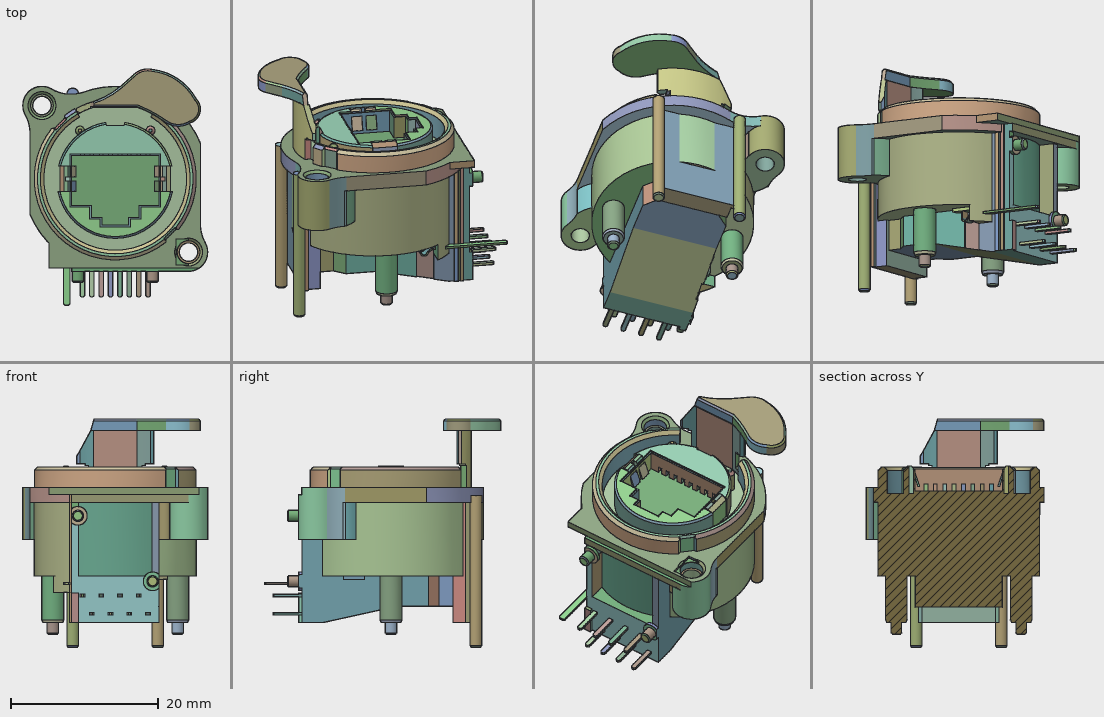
import cadquery as cq
import math


side_x = 11.53
flange_radius = 12.5
plate_front_y = -12.07
plate_corner_x = -8.98
plate_thickness = 0.95
flange_thickness = 2.0
lug_x = 9.9
lug_y = 9.9
lug_radius = 2.603
lug_height = 7.05
lug_blend_radius = 5.05
web_side_y = 6.45
web_bulge_point = (-10.83, 5.45)
web_barrel_y = 4.7
web_fillet_radius = 1.28
saddle_x = 4.45
saddle_low_point = (-6.23, 11.45)
saddle_lug_angle = 60
screw_radius = 1.23
screw_sink_radius = 1.9
screw_sink_depth = 1.45
screw_sink_chamfer = 0.35
nut_slot_x = 8.25
nut_slot_width = 3.48
nut_slot_depth = 0.32
barrel_radius = 10.95
barrel_bottom = -11.98
rim_top = 2.78
rim_chamfer = 0.45
bore_radius = 9.65
bore_chamfer = 0.48
floor_z = -0.8
gap_half_angle = 30
notch_start_angle = 37
notch_end_angle = 53
notch_floor_radius = 10.67
notch_slant_angle = 3
notch_chamfer = 0.3
plug_y = -0.15
plug_radius = 7.9
plug_top = 2.7
plug_chamfer = 0.25
key_half_width = 1.35
key_slant = 0.15
key_floor_y = 7.2
nub_x = 4.75
nub_y = 6.5
nub_radius = 0.6
nub_top = 2.4
nub_chamfer = 0.38
jack_top_y = 3.4
jack_steps = [(6.13, -3.8), (3.45, -5.43), (2.05, -6.48)]
jack_lip = 0.22
jack_floor_z = -0.48
contact_slot_width = 0.5
contact_slot_depth = 0.48
contact_slot_height = 0.95
contact_count = 8
contact_pitch = 1.268
clip_half_width = 1.71
clip_gap = 0.55
clip_outer_x = 7.47
clip_inner_x = 6.13
clip_top = 2.9
clip_crown_radius = 0.57
finger_tip_x = 5.27
finger_thickness = 0.25
finger_bottom = 0.15
lever_top = 9.25
pad_bottom = 7.65
pad_chamfer = 0.25
pad_bevel_angle = 45
pad_front_y = 9.75
stem_front_y = 9.65
stem_inner_radius = 10.1
stem_outer_radius = 10.85
stem_flat_half_width = 2.95
stem_half_width = 3.65
stem_step_half_width = 4.05
stem_step_height = 0.25
wing_half_width = 5.2
wing_bottom = 3.2
wing_bevel_start = (4.73, 8.9)
wing_end_y = 9.15
wing_slant_bottom = 4.25
module_half_width = 5.9
module_front_y = -12.05
front_y = -12.5
module_bottom = -18.27
module_mid_bottom = -16.05
window_half_width = 4.98
slope_start_y = -9.17
slope_end_y = 0.83
module_back_y = 8.37
back_edge_y = 10.1
back_edge_half_width = 5.43
back_wall_y = 10.67
side_step = 0.25
module_taper = 1.45
module_taper_y = 5.05
side_recess_back_y = -4.73
rib_back_y = -9.87
groove_back_y = -10.45
groove_front_y = -10.7
rib_front_y = -11.18
foot_strip_top = -14.28
peg_places = [(-5.05, -3.83), (5.05, -12.68)]
peg_radius = 0.77
peg_tip_y = -14.0
peg_root_y = -9.58
peg_chamfer = 0.15
peg_collar_radius = 1.262
pin_width = 0.65
pin_thickness = 0.35
pin_tip_y = -15.97
pin_chamfer = 0.2
upper_row_z = -14.6
lower_row_z = -17.1
ground_pin_x = -6.55
ground_pin_width = 0.9
ground_pin_thickness = 0.3
ground_pin_z = -13.0
ground_pin_tip_y = -17.1
ground_pin_root_y = -8.45
post_x = 8.43
post_radius = 1.5
post_shoulder_z = -18.27
post_shoulder_chamfer = 0.38
post_shoulder_inset = 0.15
post_tip_radius = 0.8
post_tip_z = -19.85
post_tip_chamfer = 0.2
rod_x = 5.75
rod_y = 11.47
rod_radius = 0.8
rod_top = -1.12
rod_bottom = -21.6
rod_chamfer = 0.22
rod_inset = 0.15
skirt_bottom = -14.18
skirt_outer_x = -8.4
skirt_inner_x = -7.03
skirt_back_y = -7.12
spring_plate_y = (-6.4, -3.58)
spring_plate_bottom = -12.42

overlap = 0.32


def box(x_range, y_range, z_range):
    """Box between the two limits given along each axis."""
    sizes = [max(r) - min(r) for r in (x_range, y_range, z_range)]
    corner = [min(r) for r in (x_range, y_range, z_range)]
    return cq.Workplane("XY").box(*sizes, centered=False).translate(tuple(corner))


def rod(radius, x, y, z_range):
    """Upright cylinder between two heights."""
    bottom, top = sorted(z_range)
    return cq.Workplane("XY", origin=(x, y, bottom)).circle(radius).extrude(top - bottom)


def prism(points, z_range):
    """Upright prism over a polygon."""
    bottom, top = sorted(z_range)
    return cq.Workplane("XY").workplane(offset=bottom).polyline(points).close().extrude(top - bottom)


def polar(radius, degrees, center=(0, 0)):
    angle = math.radians(degrees)
    return (center[0] + radius * math.cos(angle), center[1] + radius * math.sin(angle))


def half_turn(solid):
    return solid.rotate((0, 0, 0), (0, 0, 1), 180)


def arc_y(radius, x):
    """Y on a circle about the barrel axis at the given X, on the +Y side."""
    return math.sqrt(radius**2 - x**2)


lug_center = (-lug_x, lug_y)
blend_center_x = -side_x - lug_blend_radius
blend_rise = math.sqrt((lug_radius + lug_blend_radius) ** 2 - (blend_center_x + lug_x) ** 2)
blend_center = (blend_center_x, lug_y - blend_rise)
blend_angle = math.degrees(math.asin(blend_rise / (lug_radius + lug_blend_radius)))
blend_start = polar(lug_blend_radius, blend_angle, blend_center)
blend_middle = polar(lug_blend_radius, blend_angle / 2, blend_center)
blend_end = polar(lug_blend_radius, 0, blend_center)


def opposite(point):
    return (-point[0], -point[1])


def flange_layer(corner_points, lug_start, z_range):
    """Flange outline; only the front left corner and the start of the lug arc differ between layers."""
    bottom, top = sorted(z_range)
    corner_angle = math.degrees(math.atan2(corner_points[0][1], corner_points[0][0]))
    left_angle = math.degrees(math.atan2(-arc_y(flange_radius, side_x), -side_x))
    saddle_start = (-saddle_x, arc_y(flange_radius, saddle_x))
    saddle_end = polar(lug_radius, saddle_lug_angle, lug_center)
    outline = (
        cq.Workplane("XY")
        .workplane(offset=bottom)
        .moveTo(*blend_end)
        .lineTo(*polar(flange_radius, left_angle))
        .threePointArc(polar(flange_radius, (left_angle + corner_angle) / 2), corner_points[0])
    )
    for point in corner_points[1:]:
        outline = outline.lineTo(*point)
    return (
        outline.lineTo(*lug_start)
        .threePointArc(opposite(polar(lug_radius, 150, lug_center)), opposite(blend_start))
        .threePointArc(opposite(blend_middle), opposite(blend_end))
        .lineTo(side_x, arc_y(flange_radius, side_x))
        .threePointArc((0, flange_radius), saddle_start)
        .threePointArc(saddle_low_point, saddle_end)
        .threePointArc(polar(lug_radius, 135, lug_center), blend_start)
        .threePointArc(blend_middle, blend_end)
        .close()
        .extrude(top - bottom)
    )


def make_flange():
    plate_lug_dx = math.sqrt(lug_radius**2 - (plate_front_y + lug_y) ** 2)
    plate = flange_layer(
        [
            (plate_corner_x, -arc_y(flange_radius, plate_corner_x)),
            (plate_corner_x, plate_front_y),
        ],
        (lug_x + plate_lug_dx, plate_front_y),
        (-plate_thickness, 0),
    )
    backing = flange_layer(
        [
            (-module_half_width, -arc_y(flange_radius, module_half_width)),
            (-module_half_width, -lug_y - lug_radius),
        ],
        (lug_x, -lug_y - lug_radius),
        (-flange_thickness, -plate_thickness),
    )
    return plate.union(backing)


def make_lug():
    """Lug at the back left corner with its web to the barrel."""
    fillet_x = lug_radius + web_fillet_radius - lug_x
    fillet_reach = barrel_radius + web_fillet_radius
    fillet_center = (fillet_x, arc_y(fillet_reach, fillet_x))
    fillet_turn = math.degrees(math.atan2(fillet_center[1], -fillet_center[0]))
    barrel_side = (-arc_y(barrel_radius, web_barrel_y), web_barrel_y)
    depth = lug_height - plate_thickness
    plane = cq.Workplane("XY", origin=(0, 0, -lug_height))
    web = (
        plane.moveTo(*blend_start)
        .threePointArc(blend_middle, blend_end)
        .lineTo(-side_x, web_side_y)
        .threePointArc(web_bulge_point, barrel_side)
        .lineTo(*polar(web_fillet_radius, -fillet_turn, fillet_center))
        .threePointArc(
            polar(web_fillet_radius, 270 - fillet_turn / 2, fillet_center),
            polar(web_fillet_radius, 180, fillet_center),
        )
        .lineTo(*lug_center)
        .close()
        .extrude(depth)
    )
    return plane.center(*lug_center).circle(lug_radius).extrude(depth).union(web)


def make_screw_hole():
    """Screw hole with a chamfered sink at the back left lug."""
    hole = rod(screw_radius, -lug_x, lug_y, (-lug_height - overlap, overlap))
    sink = (
        cq.Workplane("XY", origin=(-lug_x, lug_y, -screw_sink_depth))
        .circle(screw_sink_radius - screw_sink_chamfer)
        .extrude(screw_sink_depth)
    )
    mouth = (
        cq.Workplane("XY", origin=(-lug_x, lug_y, 0))
        .circle(screw_sink_radius)
        .extrude(-screw_sink_chamfer, taper=45)
    )
    return hole.union(sink).union(mouth)


def make_gap_wedge(bottom, top):
    """Wedge from the barrel axis over the gap where the lever stands."""
    reach = 2 * barrel_radius
    wedge = [
        (0, 0),
        polar(reach, 90 - gap_half_angle),
        polar(reach, 90 + gap_half_angle),
    ]
    return prism(wedge, (bottom, top))


def make_rim():
    """Ring above the flange, open at the back for the lever and notched outside."""
    rim = rod(barrel_radius, 0, 0, (0, rim_top)).faces(">Z").edges().chamfer(rim_chamfer)
    notch = [
        polar(barrel_radius + overlap, -notch_start_angle),
        polar(notch_floor_radius, -notch_start_angle - notch_slant_angle),
        polar(notch_floor_radius, -notch_end_angle + notch_slant_angle),
        polar(barrel_radius + overlap, -notch_end_angle),
    ]
    notch_bevel = (
        cq.Workplane("XY")
        .workplane(offset=rim_top - notch_chamfer)
        .polyline(notch)
        .close()
        .extrude(notch_chamfer, taper=-45)
    )
    notch_tool = prism(notch, (0, rim_top)).union(notch_bevel)
    rim = rim.cut(notch_tool).cut(half_turn(notch_tool))
    bore_mouth = (
        cq.Workplane("XY", origin=(0, 0, rim_top))
        .circle(bore_radius + bore_chamfer)
        .extrude(-bore_chamfer, taper=45)
    )
    rim = rim.cut(rod(bore_radius, 0, 0, (0, rim_top))).cut(bore_mouth)
    return rim.cut(make_gap_wedge(0, rim_top))


def jack_outline(margin):
    """Stepped jack opening, grown by a margin on every side."""
    right = [(jack_steps[0][0] + margin, jack_top_y + margin)]
    for index, (half_width, bottom_y) in enumerate(jack_steps):
        right.append((half_width + margin, right[-1][1]))
        right.append((half_width + margin, bottom_y - margin))
    right = right[1:]
    left = [(-x, y) for x, y in reversed(right)]
    return right + left


def make_plug():
    plug = rod(plug_radius, 0, plug_y, (floor_z, plug_top)).faces(">Z").edges().chamfer(plug_chamfer)
    for side in (-1, 1):
        nub = rod(nub_radius, side * nub_x, nub_y, (floor_z, nub_top))
        nub = nub.faces(">Z").edges().chamfer(nub_chamfer)
        plug = plug.union(nub)
    key_top_y = plug_radius + overlap
    key = [
        (-key_half_width - key_slant, key_top_y),
        (-key_half_width + key_slant, key_floor_y),
        (key_half_width - key_slant, key_floor_y),
        (key_half_width + key_slant, key_top_y),
    ]
    plug = plug.cut(prism(key, (floor_z, plug_top + overlap)))
    plug = plug.cut(prism(jack_outline(-jack_lip), (jack_floor_z, plug_top + overlap)))
    plug = plug.cut(prism(jack_outline(0), (plug_top - jack_lip, plug_top + overlap)))
    for index in range(contact_count):
        x = (index - (contact_count - 1) / 2) * contact_pitch
        slot = box(
            (x - contact_slot_width / 2, x + contact_slot_width / 2),
            (0, jack_top_y - jack_lip + contact_slot_depth),
            (jack_floor_z, jack_floor_z + contact_slot_height),
        )
        plug = plug.cut(slot)
    for side in (-1, 1):
        clip_slot = box(
            (side * clip_inner_x, side * (plug_radius + overlap)),
            (-clip_half_width, clip_half_width),
            (floor_z, plug_top + overlap),
        )
        plug = plug.cut(clip_slot)
        plug = plug.union(make_clip(side))
    return plug


def make_clip(side):
    """Spring clip bent over the plug wall, with two fingers reaching into the jack."""
    profile = (
        cq.Workplane("XZ", origin=(0, clip_half_width, 0))
        .moveTo(side * clip_outer_x, floor_z - overlap)
        .lineTo(side * clip_outer_x, clip_top - clip_crown_radius)
        .lineTo(side * (clip_outer_x - clip_crown_radius), clip_top)
        .lineTo(side * (clip_inner_x + finger_thickness), clip_top)
        .lineTo(side * clip_inner_x, clip_top - finger_thickness)
        .lineTo(side * finger_tip_x, finger_bottom)
        .lineTo(side * (finger_tip_x + finger_thickness), finger_bottom)
        .lineTo(side * clip_inner_x, clip_top - 3 * finger_thickness)
        .lineTo(side * clip_inner_x, floor_z - overlap)
        .close()
        .extrude(2 * clip_half_width)
    )
    finger_gap = box(
        (side * finger_tip_x, side * (clip_inner_x + clip_crown_radius)),
        (-clip_gap / 2, clip_gap / 2),
        (floor_z, clip_top),
    )
    return profile.cut(finger_gap)


def pad_outline(height):
    """Thumb pad outline of the lever, drawn at a height."""
    return (
        cq.Workplane("XY")
        .workplane(offset=height)
        .moveTo(-3.32, pad_front_y)
        .lineTo(stem_flat_half_width, pad_front_y)
        .threePointArc((5.08, 8.72), (6.9, 7.57))
        .threePointArc((8.43, 7.1), (10.1, 7.55))
        .threePointArc((11.47, 8.98), (10.95, 10.8))
        .threePointArc((8.43, 13.55), (5.0, 14.8))
        .threePointArc((3.77, 14.8), (2.7, 14.28))
        .lineTo(0.67, 12.45)
        .threePointArc((-1.05, 11.27), (-3.32, 10.32))
        .close()
    )


def make_pad():
    bevel_bottom = lever_top - pad_chamfer
    bevel = pad_outline(bevel_bottom).extrude(pad_chamfer, taper=pad_bevel_angle)
    return pad_outline(pad_bottom).extrude(bevel_bottom - pad_bottom).union(bevel)


def make_lever():
    stem_z = (floor_z - overlap, pad_bottom)
    stem = rod(stem_outer_radius, 0, 0, stem_z)
    stem = stem.cut(rod(stem_inner_radius, 0, 0, stem_z))
    chord = rod(stem_inner_radius, 0, 0, stem_z)
    chord = chord.intersect(
        box((-stem_half_width, stem_half_width), (stem_front_y, stem_outer_radius), stem_z)
    )
    stem = stem.union(chord)
    back = (0, stem_outer_radius + overlap)
    foot = box((-stem_half_width, stem_half_width), back, (floor_z - overlap, wing_bottom))
    wings = box((-wing_half_width, wing_half_width), back, (wing_bottom, pad_bottom))
    step = box(
        (-stem_step_half_width, stem_step_half_width), back, (wing_bottom - stem_step_height, wing_bottom)
    )
    stem = stem.intersect(foot.union(step).union(wings))
    for side in (-1, 1):
        wing_end = [
            (side * wing_bevel_start[0], wing_bevel_start[1]),
            (side * wing_half_width, wing_end_y),
            (side * wing_half_width, 0),
            (side * wing_bevel_start[0], 0),
        ]
        stem = stem.cut(prism(wing_end, (wing_bottom, pad_bottom)))
    lever = stem.union(make_pad())
    slanted_side = (
        cq.Workplane("XZ", origin=(0, stem_outer_radius + overlap, 0))
        .polyline(
            [
                (-2.87, lever_top),
                (-3.32, pad_bottom),
                (-4.8, 4.95),
                (-wing_half_width, wing_slant_bottom),
                (-wing_half_width - overlap, wing_slant_bottom),
                (-wing_half_width - overlap, lever_top),
            ]
        )
        .close()
        .extrude(stem_outer_radius)
    )
    return lever.cut(slanted_side)


def make_module():
    """Jack housing under the flange: sloped block, window frame and back wall."""
    profile = [
        (module_front_y, -plate_thickness),
        (module_front_y, module_bottom),
        (slope_start_y, module_bottom),
        (slope_end_y, module_mid_bottom),
        (module_back_y + overlap, module_mid_bottom),
        (module_back_y + overlap, -plate_thickness),
    ]
    block = (
        cq.Workplane("YZ", origin=(-module_half_width - side_step, 0, 0))
        .polyline(profile)
        .close()
        .extrude(2 * module_half_width + side_step)
    )
    half = module_half_width
    plan = [
        (half, module_front_y),
        (half, module_taper_y),
        (half - module_taper, module_taper_y + module_taper),
        (half - module_taper, module_back_y + overlap),
        (-half + module_taper, module_back_y + overlap),
        (-half + module_taper, module_taper_y + module_taper),
        (-half, module_taper_y),
        (-half, side_recess_back_y),
        (-half + side_step, side_recess_back_y),
        (-half + side_step, skirt_back_y),
        (-half, skirt_back_y),
        (-half, rib_back_y),
        (-half - side_step, rib_back_y),
        (-half - side_step, groove_back_y),
        (-half, groove_back_y),
        (-half, groove_front_y),
        (-half - side_step, groove_front_y),
        (-half - side_step, rib_front_y),
        (-half, rib_front_y),
        (-half, module_front_y),
    ]
    block = block.intersect(prism(plan, (module_bottom, 0)))
    window = box(
        (-window_half_width, window_half_width),
        (module_front_y - overlap, 0),
        (barrel_bottom, -flange_thickness),
    )
    foot_strip = box((-half, -window_half_width), (front_y, module_front_y), (module_bottom, foot_strip_top))
    wall_z = (module_bottom, -plate_thickness)
    back_wall = box((-window_half_width, window_half_width), (module_back_y, back_wall_y), wall_z)
    back_edge = box((-back_edge_half_width, back_edge_half_width), (back_edge_y, back_wall_y), wall_z)
    return block.cut(window).union(foot_strip).union(back_wall.union(back_edge))


def make_pegs():
    pegs = cq.Workplane("XY")
    for x, z in peg_places:
        peg = cq.Workplane("XZ", origin=(x, peg_root_y, z)).circle(peg_radius).extrude(peg_root_y - peg_tip_y)
        peg = peg.faces("<Y").edges().chamfer(peg_chamfer)
        collar = (
            cq.Workplane("XZ", origin=(x, module_front_y, z))
            .circle(peg_collar_radius)
            .extrude(module_front_y - front_y)
        )
        width = (-module_half_width, module_half_width)
        heights = (z - peg_collar_radius, z + peg_collar_radius)
        pegs = pegs.union(peg).union(collar.intersect(box(width, (front_y, 0), heights)))
    return pegs


def make_pin(x, z, width, thickness, root_y, tip_y):
    """Flat pin pointing to -Y with a chamfered tip."""
    pin = box((x - width / 2, x + width / 2), (root_y, tip_y), (z - thickness / 2, z + thickness / 2))
    return pin.faces("<Y").edges("|Z").chamfer(pin_chamfer)


def make_pins():
    pins = make_pin(
        ground_pin_x,
        ground_pin_z,
        ground_pin_width,
        ground_pin_thickness,
        ground_pin_root_y,
        ground_pin_tip_y,
    )
    for index in range(contact_count):
        x = (index - (contact_count - 1) / 2) * contact_pitch
        row_z = upper_row_z if index % 2 == 0 else lower_row_z
        pins = pins.union(make_pin(x, row_z, pin_width, pin_thickness, module_front_y + overlap, pin_tip_y))
    return pins


def make_post(side):
    root = barrel_bottom + overlap
    post = rod(post_radius, side * post_x, 0, (post_shoulder_z, root))
    post = post.faces("<Z").edges().chamfer(post_shoulder_chamfer, post_shoulder_inset)
    tip = rod(post_tip_radius, side * post_x, 0, (post_tip_z, root))
    tip = tip.faces("<Z").edges().chamfer(post_tip_chamfer)
    return post.union(tip)


def make_rod(side):
    solid = rod(rod_radius, side * rod_x, rod_y, (rod_bottom, rod_top))
    return solid.faces("<Z").edges().chamfer(rod_chamfer, rod_inset)


def make_skirt():
    ring = rod(barrel_radius, 0, 0, (skirt_bottom, barrel_bottom + overlap))
    wall = box(
        (skirt_outer_x, -module_half_width),
        (-barrel_radius, skirt_back_y),
        (skirt_bottom, barrel_bottom + overlap),
    )
    return ring.intersect(wall)


def make_spring():
    """Ground spring: plates under both sides of the barrel and a hooked wire to the skirt."""
    width = (skirt_inner_x, -module_half_width + 2 * side_step)
    plate = box(width, spring_plate_y, (spring_plate_bottom, barrel_bottom + overlap))
    wire_length = width[1] - width[0]
    hook = (
        cq.Workplane("YZ", origin=(width[0], 0, 0))
        .moveTo(-5.17, spring_plate_bottom)
        .lineTo(-5.17, -13.4)
        .threePointArc((-5.5, -13.77), (-5.88, -13.5))
        .threePointArc((-6.35, -13.03), (-7.2, -12.9))
        .lineTo(-7.2, -13.1)
        .threePointArc((-6.48, -13.2), (-6.07, -13.6))
        .threePointArc((-5.5, -13.95), (-4.98, -13.4))
        .lineTo(-4.98, spring_plate_bottom)
        .close()
        .extrude(wire_length)
    )
    return plate.union(plate.mirror("YZ")).union(hook)


barrel = rod(barrel_radius, 0, 0, (barrel_bottom, 0))
bore = rod(bore_radius, 0, 0, (floor_z, overlap))
lever_well = rod(stem_inner_radius, 0, 0, (floor_z, overlap)).intersect(make_gap_wedge(floor_z, overlap))
lug = make_lug()
screw_hole = make_screw_hole()
nut_slot = box(
    (nut_slot_x, lug_x), (-lug_y - nut_slot_width / 2, -lug_y + nut_slot_width / 2), (-nut_slot_depth, 0)
)

result = make_flange().union(lug).union(half_turn(lug)).union(make_module()).union(barrel)
result = result.cut(bore).cut(lever_well)
result = result.union(make_rim()).union(make_plug()).union(make_lever()).union(make_skirt())
result = result.union(make_pegs()).union(make_pins()).union(make_spring())
for side in (-1, 1):
    result = result.union(make_post(side)).union(make_rod(side))
result = result.cut(screw_hole).cut(half_turn(screw_hole)).cut(nut_slot)